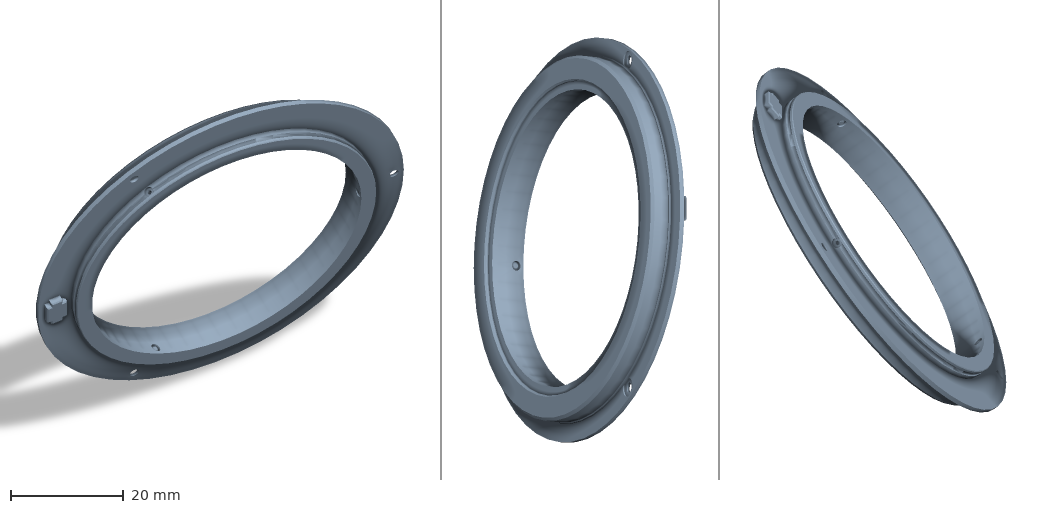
import cadquery as cq

barrel_end = 3.3
flange_front = 3.75
flange_back = 4.6
ring_length = 7.0

flange_diameter = 72.0
shoulder_diameter = 65.5
barrel_diameter = 65.0
barrel_chamfer_diameter = 64.0
collar_diameter = 59.0
bore_diameter = 53.0

recess_mouth_diameter = 56.6
recess_diameter = 56.0
recess_depth = 0.65

groove_start = 5.55
groove_end = 6.4
groove_depth = 0.4
collar_chamfer = 0.15

mount_hole_diameter = 1.7
counterbore_diameter = 3.4
counterbore_depth = 0.3
mount_hole_radius = 34.05
pattern_count = 3
pattern_step = 360 / pattern_count

screw_diameter = 1.7
screw_center_x = 5.55
screw_inner_radius = 26.65
screw_outer_radius = 28.95
screw_tip_chamfer = 0.4
socket_across_corners = 0.9
socket_depth = 1.1
cutter_overrun = 0.7

block_inner_radius = 30.8
block_outer_radius = 34.7
block_width = 6.05
block_thickness = 1.2
block_corner_notch = 0.9
block_inner_chamfer = 0.5
block_edge_chamfer = 0.2

barrel_radius = barrel_diameter / 2
collar_radius = collar_diameter / 2
bore_radius = bore_diameter / 2
front_chamfer = barrel_radius - barrel_chamfer_diameter / 2
groove_middle = (groove_start + groove_end) / 2
counterbore_end = flange_front + counterbore_depth
mouth_chamfer = (recess_mouth_diameter - recess_diameter) / 2


def around_axis(shape, index):
    """Turn a shape to one of the evenly spaced positions about the X axis."""
    return shape.rotate((0, 0, 0), (1, 0, 0), index * pattern_step)


def x_tube(outer_diameter, inner_diameter, length):
    """Make a tube along X that starts at X = 0."""
    return cq.Workplane("YZ").circle(outer_diameter / 2).circle(inner_diameter / 2).extrude(length)


def x_cylinder(diameter, start, end):
    """Make a cylinder along X, placed on +Y at the mounting hole radius."""
    plane = cq.Workplane("YZ", origin=(start, mount_hole_radius, 0))
    return plane.circle(diameter / 2).extrude(end - start)


def ring_body():
    """Revolve the stepped section, given as (X, radius), about the X axis."""
    section = (
        cq.Workplane("XY")
        .moveTo(recess_depth, bore_radius)
        .lineTo(recess_depth, recess_diameter / 2)
        .lineTo(mouth_chamfer, recess_diameter / 2)
        .lineTo(0, recess_mouth_diameter / 2)
        .lineTo(0, barrel_radius - front_chamfer)
        .lineTo(front_chamfer, barrel_radius)
        .lineTo(flange_front, barrel_radius)
        .lineTo(flange_front, flange_diameter / 2)
        .lineTo(flange_back, flange_diameter / 2)
        .lineTo(flange_back, collar_radius)
        .lineTo(groove_start, collar_radius)
        .threePointArc((groove_middle, collar_radius - groove_depth), (groove_end, collar_radius))
        .lineTo(ring_length - collar_chamfer, collar_radius)
        .lineTo(ring_length, collar_radius - collar_chamfer)
        .lineTo(ring_length, bore_radius)
        .close()
    )
    return section.revolve(360, (0, 0, 0), (1, 0, 0))


def mount_hole():
    """Cutter for the through hole in the flange on +Y."""
    return x_cylinder(mount_hole_diameter, flange_front, flange_back)


def counterbore():
    """Cutter for the counterbore on +Y."""
    return x_cylinder(counterbore_diameter, flange_front, counterbore_end)


def shoulder():
    """Round shoulder that reaches into the flange as far as the counterbores do."""
    tube = x_tube(shoulder_diameter, collar_diameter, counterbore_end - barrel_end)
    return tube.translate((barrel_end, 0, 0))


def screw_cylinder(start_radius, end_radius):
    """Make a cylinder of the screw's diameter that points along +Y."""
    plane = cq.Workplane("XZ", origin=(screw_center_x, start_radius, 0))
    return plane.circle(screw_diameter / 2).extrude(start_radius - end_radius)


def screw_hole():
    """Cutter for the radial hole on +Y that runs right through the collar wall."""
    return screw_cylinder(bore_radius - cutter_overrun, collar_radius + cutter_overrun)


def set_screw():
    """Make the set screw on +Y, with a chamfered tip and a hexagon socket in its outer end."""
    screw = screw_cylinder(screw_inner_radius, screw_outer_radius)
    screw = screw.faces("<Y").edges().chamfer(screw_tip_chamfer)
    return screw.faces(">Y").workplane().polygon(6, socket_across_corners).cutBlind(-socket_depth)


def index_block():
    """Make the block that stands on the back of the flange at -Y."""
    plane = cq.Workplane("YZ", origin=(flange_back, -(block_inner_radius + block_outer_radius) / 2, 0))
    length = block_outer_radius - block_inner_radius
    notch = block_corner_notch
    block = plane.rect(length, block_width - 2 * notch).extrude(block_thickness)
    block = block.union(plane.rect(length - 2 * notch, block_width).extrude(block_thickness))
    block = block.faces(">Y").edges("<X").chamfer(block_inner_chamfer)
    return block.faces(">X").edges().chamfer(block_edge_chamfer)


def ring_with_holes():
    """Cut the counterbores before adding the shoulder, so that the shoulder stays round."""
    ring = ring_body()
    for index in range(pattern_count):
        ring = ring.cut(around_axis(counterbore(), index))
    ring = ring.union(shoulder())
    for index in range(pattern_count):
        ring = ring.cut(around_axis(mount_hole(), index))
        ring = ring.cut(around_axis(screw_hole(), index))
    return ring


ring = ring_with_holes()
screws = [around_axis(set_screw(), index) for index in range(pattern_count)]
block = index_block()

result = cq.Compound.makeCompound([ring.val(), *[screw.val() for screw in screws], block.val()])